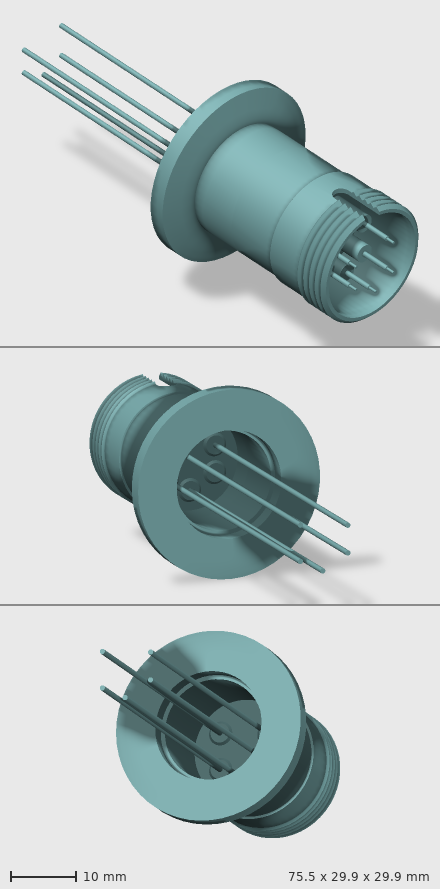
import cadquery as cq
import math


overall_length = 75.45
flange_start = 40.5
flange_thickness = 2.7
hub_cone_length = 1.35
joint_position = 52.95
collar_start = 62.1
shell_end = 74.5

flange_diameter = 29.95
flange_radius = flange_diameter / 2
tube_radius = 9.5
collar_radius = 9.9
entry_bore_radius = 8.6
tube_bore_radius = 7.9
cup_bore_radius = 9.05
entry_bore_depth = 2.65

wall_thickness = 4.5
wall_start = collar_start - wall_thickness

ridge_count = 5
thread_length = 6.5
ridge_pitch = thread_length / ridge_count
ridge_crest_radius = 10.25
ridge_root_radius = 9.65
thread_start = shell_end - thread_length
lead_in_length = (
    ridge_pitch / 2 * (collar_radius - ridge_root_radius) / (ridge_crest_radius - ridge_root_radius)
)

slot_width = 2.95
slot_tip = 66.15

pin_circle_radius = 4.7
pin_angles = [-90, 38, -38, 152, -152]
pin_radius = 0.415
pin_shoulder = 73.9
pin_tip_radius = 0.2
bead_radius = 1.5
bead_end = 68.8
rear_bead_base_radius = 1.9
rear_bead_height = 0.4


def cylinder(start, end, radius, y=0.0, z=0.0):
    """Solid cylinder parallel to X."""
    return cq.Workplane("YZ", origin=(start, y, z)).circle(radius).extrude(end - start)


def revolve_about_x(points):
    """Solid of revolution from an (x, radius) outline."""
    return cq.Workplane("XY").polyline(points).close().revolve(360, (0, 0, 0), (1, 0, 0))


def make_flange_adapter():
    rim_end = flange_start + flange_thickness
    hub_end = rim_end + hub_cone_length
    step = flange_start + entry_bore_depth
    return revolve_about_x([
        (flange_start, entry_bore_radius),
        (flange_start, flange_radius),
        (rim_end, flange_radius),
        (hub_end, tube_radius),
        (joint_position, tube_radius),
        (joint_position, tube_bore_radius),
        (step, tube_bore_radius),
        (step, entry_bore_radius),
    ])


def make_shell():
    """Connector tube, pin wall and threaded cup."""
    outline = [
        (joint_position, tube_bore_radius),
        (joint_position, tube_radius),
        (collar_start, tube_radius),
        (collar_start, collar_radius),
        (thread_start + lead_in_length, collar_radius),
    ]
    for ridge in range(ridge_count):
        ridge_start = thread_start + ridge * ridge_pitch
        outline.append((ridge_start + ridge_pitch / 2, ridge_crest_radius))
        outline.append((ridge_start + ridge_pitch, ridge_root_radius))
    outline += [
        (shell_end, cup_bore_radius),
        (collar_start, cup_bore_radius),
        (collar_start, 0),
        (wall_start, 0),
        (wall_start, tube_bore_radius),
    ]
    return revolve_about_x(outline)


def make_slot():
    """Round-ended cutter that opens the upper cup wall to its rim."""
    slot_end_radius = slot_width / 2
    round_centre = slot_tip + slot_end_radius
    return (
        cq.Workplane("XY")
        .moveTo(shell_end, -slot_end_radius)
        .lineTo(round_centre, -slot_end_radius)
        .threePointArc((slot_tip, 0), (round_centre, slot_end_radius))
        .lineTo(shell_end, slot_end_radius)
        .close()
        .extrude(ridge_crest_radius)
    )


def make_pin(y, z):
    """Wire, contact tip and sealing bead of one pin."""
    wire = cylinder(0, pin_shoulder, pin_radius, y, z)
    tip = cylinder(pin_shoulder, overall_length, pin_tip_radius, y, z)
    front_bead = cylinder(wall_start, bead_end, bead_radius, y, z)
    rear_bead = (
        cq.Workplane("YZ", origin=(wall_start, y, z))
        .circle(rear_bead_base_radius)
        .workplane(offset=-rear_bead_height)
        .circle(bead_radius)
        .loft()
    )
    return wire.union(tip).union(front_bead).union(rear_bead)


def make_connector():
    connector = make_shell().cut(make_slot())
    for angle in pin_angles:
        y = pin_circle_radius * math.cos(math.radians(angle))
        z = pin_circle_radius * math.sin(math.radians(angle))
        connector = connector.union(make_pin(y, z))
    return connector


flange_adapter = make_flange_adapter()
connector = make_connector()
result = cq.Compound.makeCompound([flange_adapter.val(), connector.val()])